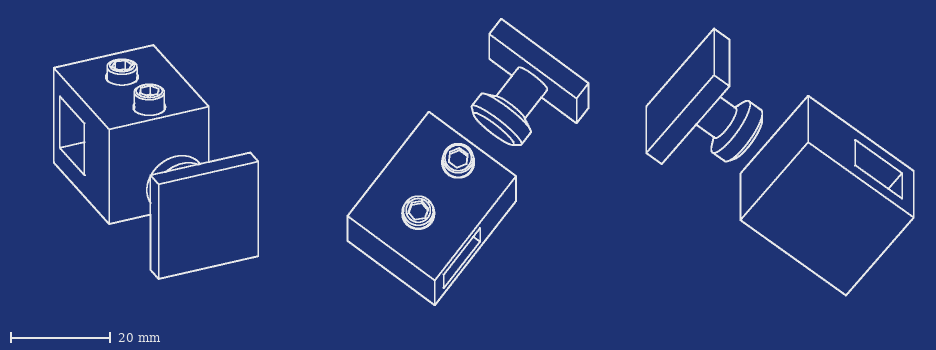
import cadquery as cq
import math

total_length = 51.0
side = 22.0
center = side / 2

housing_length = 27.0
window_size = 12.0
window_left = 3.0
window_bottom = 5.0

screw_radius = 3.0
screw_chamfer_height = 0.3
screw_depth = 3.05
mouth_radius = 3.25
mouth_depth = 0.45
socket_flats = 3.55
socket_depth = 2.0
window_screw_x = window_left + window_size / 2
stud_screw_x = 22.25
screws = [
    (window_screw_x, 2.65, 2.45, 17.0),
    (stud_screw_x, 3.75, 2.65, 30.0),
]

plate_thickness = 4.0
plate_x = total_length - plate_thickness

stud_x = 34.0
tip_radius = 5.1
head_radius = 6.3
shaft_radius = 3.65
tip_taper = 0.95
head_width = 3.1
neck_taper = 1.4
bore_radius = 3.3
bore_taper = 1.95


def make_block(length, x):
    """Square-section block starting at x."""
    return cq.Workplane("XY").box(length, side, side, centered=False).translate((x, 0, 0))


def make_screw(x, height, top_radius, socket_turn):
    """Chamfered set screw with a hexagon socket."""
    top = side + height
    shoulder = top - screw_chamfer_height
    profile = [
        (0, side - screw_depth),
        (screw_radius, side - screw_depth),
        (screw_radius, shoulder),
        (top_radius, top),
        (0, top),
    ]
    screw = cq.Workplane("XZ").polyline(profile).close().revolve(360, (0, 0), (0, 1))
    socket_diameter = socket_flats / math.cos(math.pi / 6)
    socket = (
        cq.Workplane("XY")
        .polygon(6, socket_diameter)
        .extrude(socket_depth)
        .rotate((0, 0, 0), (0, 0, 1), socket_turn)
        .translate((0, 0, top - socket_depth))
    )
    return screw.cut(socket).translate((x, center, 0))


def make_hole_mouth(x):
    """Conical lead-in around a screw at the top of the housing."""
    cone = cq.Solid.makeCone(
        screw_radius, mouth_radius, mouth_depth, cq.Vector(x, center, side - mouth_depth)
    )
    return cq.Workplane(obj=cone)


def make_housing():
    """Block with a square window through it and two set screws fixed in its top."""
    window = (
        cq.Workplane("XY")
        .box(window_size, side, window_size, centered=False)
        .translate((window_left, 0, window_bottom))
    )
    housing = make_block(housing_length, 0).cut(window)
    for x, height, top_radius, socket_turn in screws:
        screw = make_screw(x, height, top_radius, socket_turn)
        housing = housing.cut(make_hole_mouth(x))
        housing = housing.union(screw)
    return housing


def make_stud():
    """Mushroom-headed stud along X with a through bore that opens at the tip through a cone."""
    shoulder_x = stud_x + tip_taper
    neck_x = shoulder_x + head_width
    profile = [
        (plate_x, bore_radius),
        (stud_x + bore_taper, bore_radius),
        (stud_x, tip_radius),
        (shoulder_x, head_radius),
        (neck_x, head_radius),
        (neck_x + neck_taper, shaft_radius),
        (plate_x, shaft_radius),
    ]
    stud = cq.Workplane("XY").polyline(profile).close().revolve(360, (0, 0), (1, 0))
    return stud.translate((0, center, center))


housing = make_housing()
stud = make_stud()
plate = make_block(plate_thickness, plate_x)

result = cq.Compound.makeCompound([housing.val(), stud.val(), plate.val()])